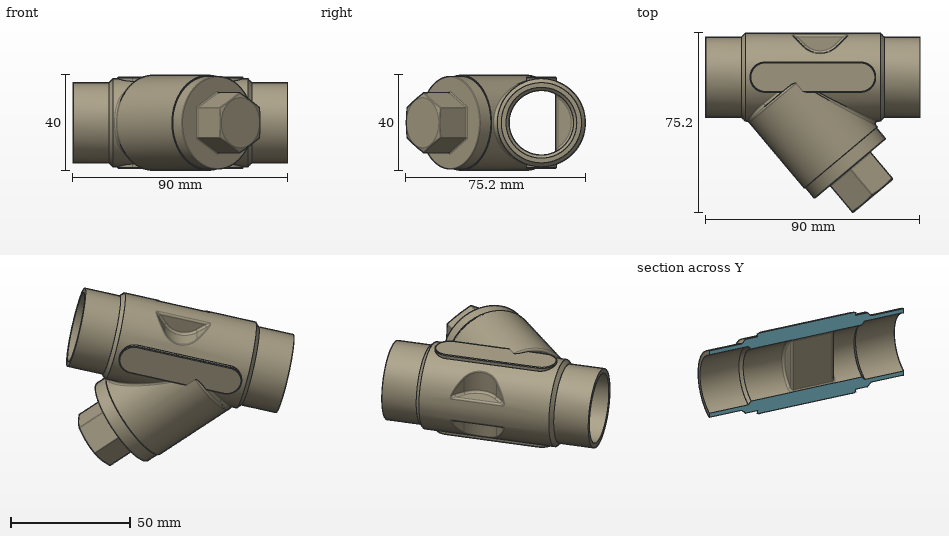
import cadquery as cq
import math

PIPE_LENGTH = 90.0
PIPE_RADIUS = 33.7 / 2
SOCKET_RADIUS = 29.7 / 2
BORE_RADIUS = 27.0 / 2
SOCKET_DEPTH = 18.0
BORE_TAPER_LENGTH = 1.35

BODY_LENGTH = 59.9
BODY_RADIUS = 37.0 / 2
BODY_BEVEL = BODY_RADIUS - PIPE_RADIUS

BRANCH_ANGLE = 50.0
BRANCH_CROSSING_X = 28.4
BRANCH_RADIUS = 40.0 / 2
BRANCH_START = 7.1
CAP_RADIUS = 39.0 / 2
CAP_START = 44.0
CAP_END = 50.0
CAP_EDGE_BREAK = 0.3
HEX_ACROSS_FLATS = 22.0
HEX_END = 65.0
HEX_EDGE_BREAK = 0.3
HEX_FOOT_FILLET = 0.45
HEX_TIP_RADIUS = 10.5
HEX_BEVEL_ANGLE = 15.0

PLATE_LENGTH = 52.7
PLATE_WIDTH = 12.7
PLATE_HEIGHT = 19.2
PLATE_EDGE_BREAK = 0.4

POCKET_X = 48.1
POCKET_BOTTOM_Y = 10.1
POCKET_TIP_RADIUS = 10.0
POCKET_FLOOR_Z = 5.7
POCKET_RIM_FILLET = 0.5
WALL_BOTTOM_Y = 5.9
WALL_LENGTH = 19.8
FILLET = 1.0

BODY_START = (PIPE_LENGTH - BODY_LENGTH) / 2
BODY_END = BODY_START + BODY_LENGTH
BRANCH_AXIS = cq.Vector(math.cos(math.radians(BRANCH_ANGLE)), -math.sin(math.radians(BRANCH_ANGLE)), 0)


def x_cylinder(radius, start, end):
    return cq.Workplane("YZ", origin=(start, 0, 0)).circle(radius).extrude(end - start)


def branch_plane(distance):
    """Plane square to the branch axis, its local X pointing along +Z."""
    origin = cq.Vector(BRANCH_CROSSING_X, 0, 0) + BRANCH_AXIS * distance
    return cq.Workplane(cq.Plane(origin=origin, xDir=(0, 0, 1), normal=BRANCH_AXIS))


def make_pipe():
    body = x_cylinder(BODY_RADIUS, BODY_START, BODY_END).edges().chamfer(BODY_BEVEL)
    return x_cylinder(PIPE_RADIUS, 0, PIPE_LENGTH).union(body)


def make_plates():
    plates = (
        cq.Workplane("XY", origin=(PIPE_LENGTH / 2, 0, -PLATE_HEIGHT))
        .slot2D(PLATE_LENGTH, PLATE_WIDTH)
        .extrude(2 * PLATE_HEIGHT)
    )
    return plates.faces("|Z").edges().chamfer(PLATE_EDGE_BREAK)


def make_branch():
    """Branch cylinder with its inner rim rounded."""
    branch = branch_plane(BRANCH_START).circle(BRANCH_RADIUS).extrude(CAP_START - BRANCH_START)
    return branch.faces(">Y").edges().fillet(FILLET)


def make_cap():
    cap = branch_plane(CAP_START).circle(CAP_RADIUS).extrude(CAP_END - CAP_START)
    return cap.faces("<Y").edges().fillet(CAP_EDGE_BREAK)


def make_hexagon():
    """Hexagon with two corners on the Z direction and a bevelled tip."""
    length = HEX_END - CAP_END
    corner_radius = HEX_ACROSS_FLATS / 2 / math.cos(math.pi / 6)
    prism = branch_plane(CAP_END).polygon(6, 2 * corner_radius).extrude(length)
    prism = prism.edges(cq.selectors.ParallelDirSelector(BRANCH_AXIS)).fillet(HEX_EDGE_BREAK)
    bevel_length = (corner_radius - HEX_TIP_RADIUS) * math.tan(math.radians(HEX_BEVEL_ANGLE))
    envelope = branch_plane(CAP_END).circle(corner_radius).extrude(length)
    envelope = envelope.faces("<Y").chamfer(bevel_length, corner_radius - HEX_TIP_RADIUS)
    hexagon = prism.intersect(envelope)
    return hexagon.edges("%HYPERBOLA or %BSPLINE").fillet(HEX_EDGE_BREAK)


def make_bore():
    """Through bore with a wider socket at each end that tapers down to it."""
    taper_end = SOCKET_DEPTH + BORE_TAPER_LENGTH
    return (
        cq.Workplane("XY")
        .moveTo(0, 0)
        .lineTo(0, SOCKET_RADIUS)
        .lineTo(SOCKET_DEPTH, SOCKET_RADIUS)
        .lineTo(taper_end, BORE_RADIUS)
        .lineTo(PIPE_LENGTH - taper_end, BORE_RADIUS)
        .lineTo(PIPE_LENGTH - SOCKET_DEPTH, SOCKET_RADIUS)
        .lineTo(PIPE_LENGTH, SOCKET_RADIUS)
        .lineTo(PIPE_LENGTH, 0)
        .close()
        .revolve(360, (0, 0, 0), (1, 0, 0))
    )


def make_wall():
    """Block across the +Y part of the bore, with its free edges rounded."""
    height = BODY_RADIUS - WALL_BOTTOM_Y
    return (
        cq.Workplane("XY", origin=(POCKET_X, WALL_BOTTOM_Y, 0))
        .box(WALL_LENGTH, height, 2 * BODY_RADIUS, centered=(True, False, True))
        .edges("|Z and <Y")
        .fillet(FILLET)
    )


def make_cavity():
    """Bore around the wall, rounded where the wall meets the bore."""
    cavity = make_bore().cut(make_wall())
    wall_ends = cavity.faces("|X").faces("not(<X or >X)")
    return wall_ends.edges("%CIRCLE").fillet(FILLET)


def make_pocket():
    """V-shaped pocket with a rounded tip, its floor rolling over onto the pipe body."""
    side = POCKET_TIP_RADIUS * math.sin(math.radians(45))
    tangent_y = POCKET_BOTTOM_Y + POCKET_TIP_RADIUS - side
    reach = 2 * BODY_RADIUS - tangent_y
    outline = (
        cq.Workplane("XY", origin=(POCKET_X, 0, 0))
        .moveTo(-side, tangent_y)
        .threePointArc((0, POCKET_BOTTOM_Y), (side, tangent_y))
        .line(reach, reach)
        .lineTo(-side - reach, tangent_y + reach)
        .close()
        .extrude(2 * BODY_RADIUS)
    )
    roll_z = POCKET_FLOOR_Z - FILLET
    roll_y = math.sqrt((BODY_RADIUS - FILLET) ** 2 - roll_z ** 2)
    tilt = math.atan2(roll_z, roll_y)
    middle = (tilt + math.pi / 2) / 2
    above_floor = (
        cq.Workplane("YZ")
        .moveTo(0, POCKET_FLOOR_Z)
        .lineTo(roll_y, POCKET_FLOOR_Z)
        .threePointArc(
            (roll_y + FILLET * math.cos(middle), roll_z + FILLET * math.sin(middle)),
            (BODY_RADIUS * math.cos(tilt), BODY_RADIUS * math.sin(tilt)),
        )
        .lineTo(BODY_RADIUS / math.cos(tilt), 0)
        .lineTo(2 * BODY_RADIUS, 0)
        .lineTo(2 * BODY_RADIUS, 2 * BODY_RADIUS)
        .lineTo(0, 2 * BODY_RADIUS)
        .close()
        .extrude(PIPE_LENGTH)
    )
    pocket = outline.intersect(above_floor)
    return pocket.faces("<Y").edges("<Z").fillet(FILLET)


def make_casting():
    """Pipe and branch with a fillet where they meet, and the label plates."""
    casting = make_pipe().union(make_branch())
    casting = casting.edges("%BSPLINE or %ELLIPSE").fillet(FILLET)
    return casting.union(make_plates())


def cut_pocket(part, pocket, side):
    """Cut one pocket and round its rim; side is 1 for +Z and -1 for -Z."""
    rim_z = math.sqrt(BODY_RADIUS ** 2 - POCKET_BOTTOM_Y ** 2)
    rim_tip = (POCKET_X, POCKET_BOTTOM_Y, side * rim_z)
    rim = cq.selectors.NearestToPointSelector(rim_tip)
    return part.cut(pocket).edges(rim).fillet(POCKET_RIM_FILLET)


def make_plug():
    """Cap and hexagon, with a small fillet around the foot of the hexagon."""
    plug = make_cap().union(make_hexagon())
    cap_face = plug.faces(cq.selectors.DirectionNthSelector(BRANCH_AXIS, -2)).val()
    foot_edges = cap_face.innerWires()[0].Edges()
    return plug.newObject(foot_edges).fillet(HEX_FOOT_FILLET)


upper_pocket = make_pocket()
casting = cut_pocket(make_casting(), upper_pocket, 1)
casting = cut_pocket(casting, upper_pocket.mirror("XY"), -1)
result = casting.union(make_plug()).cut(make_cavity())